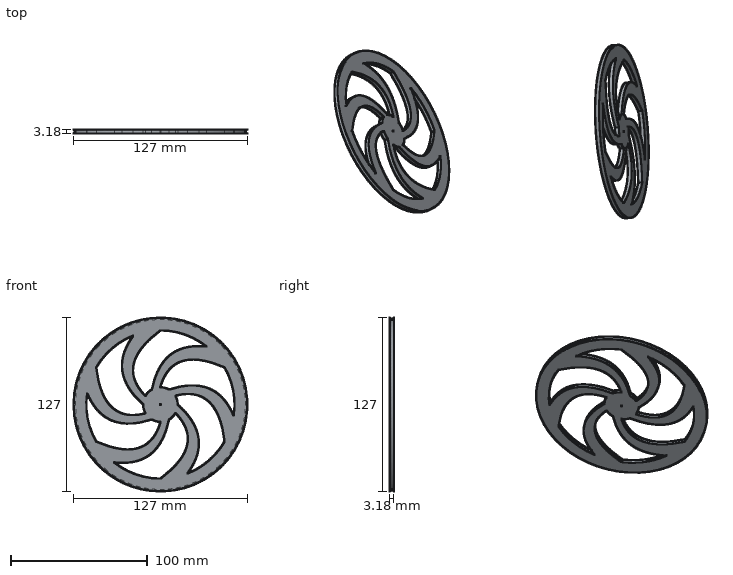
import cadquery as cq
import math

wheel_radius = 63.5
thickness = 3.175
rim_width = 9.5
rim_inner_radius = wheel_radius - rim_width
hub_radius = 12.7
axle_hole_diameter = 0.6

groove_depth = 1.5
groove_edge_tangents = [(1, 1), (-1, 1)]

cutter_length = 2 * thickness

window_count = 6
window_pitch = 360 / window_count
hub_start_angle = 90
hub_end_angle = 60
rim_start_angle = 30
rim_end_angle = -8.4

long_side_control = (44.3, 78.6)
short_side_control = (46.1, 28.9)


def polar(radius, angle):
    """Point in the wheel plane at a radius and an angle in degrees."""
    return (radius * math.cos(math.radians(angle)), radius * math.sin(math.radians(angle)))


def make_grooved_disc():
    """Disc turned about Y, with the groove in its rim; the profile lies on -X."""
    half = thickness / 2
    front_edge = (-wheel_radius, -half)
    back_edge = (-wheel_radius, half)
    groove_root = (-wheel_radius + groove_depth, 0)
    return (
        cq.Workplane("XY")
        .moveTo(0, -half)
        .lineTo(*front_edge)
        .spline([front_edge, groove_root, back_edge], tangents=groove_edge_tangents)
        .lineTo(0, half)
        .close()
        .revolve(360, (0, 0, 0), (0, 1, 0))
    )


def make_window_cutter():
    """One through window: rim and hub arcs joined by two bowed sides."""
    hub_start = polar(hub_radius, hub_start_angle)
    hub_end = polar(hub_radius, hub_end_angle)
    rim_start = polar(rim_inner_radius, rim_start_angle)
    rim_end = polar(rim_inner_radius, rim_end_angle)
    rim_middle = polar(rim_inner_radius, (rim_start_angle + rim_end_angle) / 2)
    hub_middle = polar(hub_radius, (hub_start_angle + hub_end_angle) / 2)
    return (
        cq.Workplane("XZ", origin=(0, cutter_length / 2, 0))
        .moveTo(*hub_start)
        .bezier([hub_start, polar(*long_side_control), rim_start])
        .threePointArc(rim_middle, rim_end)
        .bezier([rim_end, polar(*short_side_control), hub_end])
        .threePointArc(hub_middle, hub_start)
        .close()
        .extrude(cutter_length)
    )


def cut_windows(body):
    """Repeat the window around the axle."""
    cutter = make_window_cutter()
    for index in range(window_count):
        body = body.cut(cutter.rotate((0, 0, 0), (0, 1, 0), index * window_pitch))
    return body


def cut_axle_hole(body):
    """Small hole through the centre of the hub."""
    pin = (
        cq.Workplane("XZ", origin=(0, cutter_length / 2, 0))
        .circle(axle_hole_diameter / 2)
        .extrude(cutter_length)
    )
    return body.cut(pin)


result = cut_axle_hole(cut_windows(make_grooved_disc()))